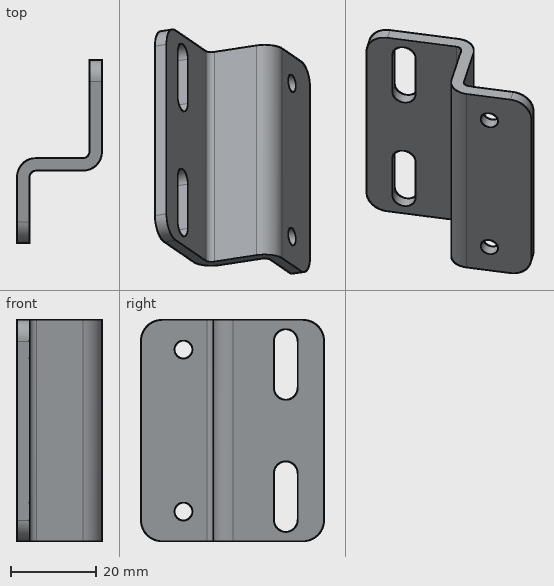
import cadquery as cq

sheet = 3.0
width_x = 20.0
length_y = 43.0
height_z = 52.0
front_flange = 20.0
inner_bend_radius = 1.5
outer_bend_radius = inner_bend_radius + sheet
corner_radius = 5.0

slot_width = 5.5
slot_length = 16.5
slot_spacing = 31.0
slot_edge_distance = 9.0

hole_diameter = 4.134
hole_spacing = 38.0
hole_edge_distance = 10.0

web_front_y = front_flange - sheet
mid_z = height_z / 2


def bent_sheet():
    """Z profile in the XY plane, extruded upwards, with rounded bends."""
    profile = [
        (0, 0),
        (sheet, 0),
        (sheet, web_front_y),
        (width_x, web_front_y),
        (width_x, length_y),
        (width_x - sheet, length_y),
        (width_x - sheet, front_flange),
        (0, front_flange),
    ]
    body = cq.Workplane("XY").polyline(profile).close().extrude(height_z)
    inner_bends = [(sheet, web_front_y), (width_x - sheet, front_flange)]
    outer_bends = [(0, front_flange), (width_x, web_front_y)]
    body = round_bends(body, inner_bends, inner_bend_radius)
    return round_bends(body, outer_bends, outer_bend_radius)


def round_bends(body, bends, radius):
    """Fillet the upright edge standing at each (x, y) position."""
    for x, y in bends:
        edge = cq.selectors.NearestToPointSelector((x, y, mid_z))
        body = body.edges("|Z").edges(edge).fillet(radius)
    return body


def round_flange_corners(body):
    """Round the four free corners at the ends of the flanges."""
    body = body.faces("<Y").edges("|X").fillet(corner_radius)
    return body.faces(">Y").edges("|X").fillet(corner_radius)


def hole_centres(y, spacing):
    """Pair of centres at the given Y, spaced evenly about mid-height."""
    half = spacing / 2
    return cq.Workplane("YZ").pushPoints([(y, mid_z - half), (y, mid_z + half)])


def slots():
    """Upright slots through the rear flange."""
    centres = hole_centres(length_y - slot_edge_distance, slot_spacing)
    return centres.slot2D(slot_length, slot_width, 90).extrude(width_x)


def holes():
    """Round holes through the front flange."""
    centres = hole_centres(hole_edge_distance, hole_spacing)
    return centres.circle(hole_diameter / 2).extrude(width_x)


result = round_flange_corners(bent_sheet()).cut(slots()).cut(holes())